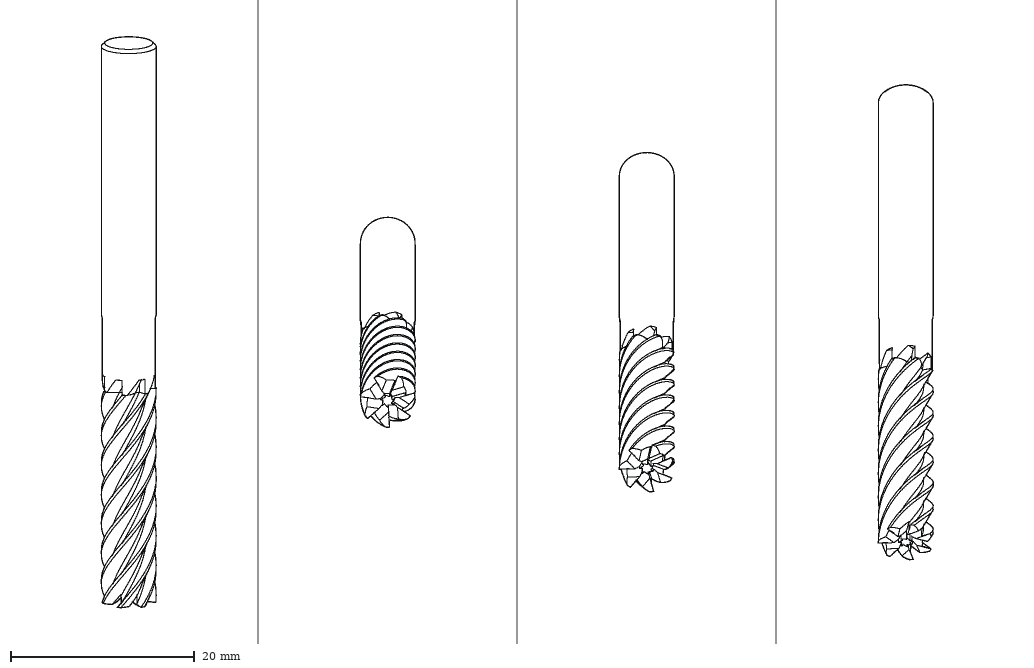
import cadquery as cq
import math

tool_length = 63.0
shank_radius = 3.0
shank_top_chamfer = 0.4
shank_end_taper = 0.4
neck_radius = 2.9
neck_top = 31.95

cut_length = 24.0
cutter_radius = shank_radius
flute_count = 7
helix_lead = 23.3
edge_angle_at_top = -68.0

land_angle = 8.0
back_mid_radius = 2.6
back_mid_angle = 20.0
back_end_radius = 2.0
back_end_angle = 35.0
rake_foot_radius = 1.95
rake_foot_angle = 50.0

runout_length = 1.65
gash_height = 1.2
gash_run = 1.0
gash_inner_radius = 0.5

tooth_pitch = 360.0 / flute_count
twist_per_length = 360.0 / helix_lead
cut_twist = cut_length * twist_per_length
edge_angle_at_tip = edge_angle_at_top - cut_twist
outside_radius = 2 * cutter_radius


def polar(radius, degrees):
    turn = math.radians(degrees)
    return (radius * math.cos(turn), radius * math.sin(turn))


def trace_flute(outline, edge_angle):
    """Continue an outline from the heel of a land: rounded tooth back, then flute floor to the rake foot."""
    return outline.threePointArc(
        polar(back_mid_radius, edge_angle + back_mid_angle),
        polar(back_end_radius, edge_angle + back_end_angle),
    ).lineTo(*polar(rake_foot_radius, edge_angle + rake_foot_angle))


def toothed_section(first_edge_angle):
    """Closed cross-section of the cutter; each rake face leads up to the next cutting edge."""
    outline = cq.Workplane("XY").moveTo(*polar(cutter_radius, first_edge_angle))
    for tooth in range(flute_count):
        edge_angle = first_edge_angle + tooth * tooth_pitch
        if tooth > 0:
            outline = outline.lineTo(*polar(cutter_radius, edge_angle))
        outline = outline.threePointArc(
            polar(cutter_radius, edge_angle + land_angle / 2),
            polar(cutter_radius, edge_angle + land_angle),
        )
        outline = trace_flute(outline, edge_angle)
    return outline.close()


def end_gash(edge_angle):
    """Radial wedge under the tip: upright wall along the cutting edge, roof sloping down ahead of it."""
    return (
        cq.Workplane("YZ", origin=(gash_inner_radius, 0, 0))
        .polyline([(0, 0), (0, gash_height), (-gash_run, 0)])
        .close()
        .extrude(outside_radius)
        .rotate((0, 0, 0), (0, 0, 1), edge_angle)
    )


def make_cutter():
    cutter = toothed_section(edge_angle_at_tip).twistExtrude(cut_length, cut_twist)
    for tooth in range(flute_count):
        cutter = cutter.cut(end_gash(edge_angle_at_tip + tooth * tooth_pitch))
    return cutter


def flute_section(edge_angle):
    """Closed outline, at the top of the cutter, of the flute behind the tooth at edge_angle."""
    heel_angle = edge_angle + land_angle
    next_edge_angle = edge_angle + tooth_pitch
    outline = (
        cq.Workplane("XY", origin=(0, 0, cut_length))
        .moveTo(*polar(outside_radius, heel_angle))
        .lineTo(*polar(cutter_radius, heel_angle))
    )
    return (
        trace_flute(outline, edge_angle)
        .lineTo(*polar(cutter_radius, next_edge_angle))
        .lineTo(*polar(outside_radius, next_edge_angle))
        .close()
    )


def flute_runout(edge_angle):
    """End of a flute in the neck: its back keeps to the helix while its rake side rises straight up."""
    helical = flute_section(edge_angle).twistExtrude(runout_length, runout_length * twist_per_length)
    straight = flute_section(edge_angle).extrude(runout_length)
    return helical.intersect(straight)


def make_shank():
    neck = cq.Workplane("XY", origin=(0, 0, cut_length)).circle(neck_radius).extrude(neck_top - cut_length)
    shank = (
        cq.Workplane("XY", origin=(0, 0, neck_top))
        .circle(shank_radius)
        .extrude(tool_length - neck_top)
        .faces(">Z")
        .chamfer(shank_top_chamfer)
        .faces("<Z")
        .chamfer(shank_end_taper, shank_radius - neck_radius)
        .union(neck)
    )
    for tooth in range(flute_count):
        shank = shank.cut(flute_runout(edge_angle_at_top + tooth * tooth_pitch))
    return shank


cutter = make_cutter()
shank = make_shank()

result = cq.Compound.makeCompound([cutter.solids().val(), shank.solids().val()])